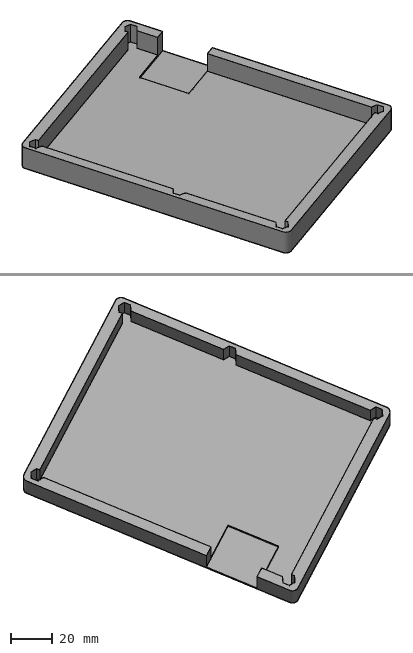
import cadquery as cq
import math

length = 147.36
width = 111.06
height = 13.0
corner_radius = 3.0

side_wall = 6.0
front_wall = 5.0
back_wall = 5.3
floor_thickness = 2.0
cavity_length = length - 2 * side_wall
cavity_front = -width / 2 + front_wall
cavity_back = width / 2 - back_wall
cavity_width = cavity_back - cavity_front
cavity_center_y = (cavity_front + cavity_back) / 2

nut_sides = 6
nut_across_flats = 5.85
nut_across_corners = nut_across_flats / math.cos(math.pi / nut_sides)
nut_x = cavity_length / 2
middle_nut_x = 11.2

opening_left = -53.0
opening_width = 27.2
opening_length = 24.8
opening_floor = 1.0


def make_body():
    """Solid block with rounded vertical corners, standing on Z = 0."""
    block = cq.Workplane("XY").box(length, width, height, centered=(True, True, False))
    return block.edges("|Z").fillet(corner_radius)


def make_cavity():
    """Rectangular space above the floor."""
    floor_plane = cq.Workplane("XY").workplane(offset=floor_thickness)
    outline = floor_plane.center(0, cavity_center_y).rect(cavity_length, cavity_width)
    return outline.extrude(height - floor_thickness)


def make_nut_recesses():
    """Hexagonal prisms at the cavity corners and along the -Y wall."""
    centers = [(x, y) for x in (-nut_x, nut_x) for y in (cavity_front, cavity_back)]
    centers.append((middle_nut_x, cavity_front))
    floor_plane = cq.Workplane("XY").workplane(offset=floor_thickness)
    hexagons = floor_plane.pushPoints(centers).polygon(nut_sides, nut_across_corners)
    return hexagons.extrude(height - floor_thickness)


def make_opening():
    """Box that breaks through the +Y wall and recesses the floor behind it."""
    opening_height = height - opening_floor
    opening = cq.Workplane("XY").box(opening_width, opening_length, opening_height, centered=False)
    return opening.translate((opening_left, width / 2 - opening_length, opening_floor))


result = make_body().cut(make_cavity()).cut(make_nut_recesses()).cut(make_opening())